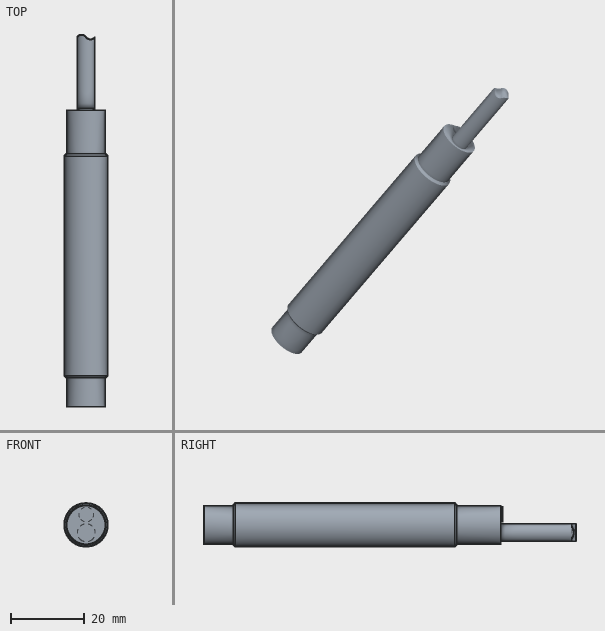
import cadquery as cq

sleeve_diameter = 12.0
sleeve_length = 61.3
sleeve_chamfer = 0.6

front_plug_diameter = 10.6
front_plug_length = 8.0
rear_plug_diameter = 10.6
rear_plug_length = 12.0

lens_diameter = 4.0
lens_height = 0.5
lens_z = 2.9

cable_diameter = 4.9
cable_length = 20.0
cable_z = -2.1
break_depth = 0.63

sleeve_front = front_plug_length
sleeve_rear = sleeve_front + sleeve_length
rear_face = sleeve_rear + rear_plug_length
break_midline = rear_face + cable_length
cable_tip = break_midline + break_depth


def cylinder_along_y(diameter, y_start, y_end, z=0.0):
    """Solid cylinder parallel to Y, with its axis at X = 0 and height z."""
    radius = diameter / 2
    start = cq.Vector(0, y_start, z)
    return cq.Workplane(cq.Solid.makeCylinder(radius, y_end - y_start, start, cq.Vector(0, 1, 0)))


def make_sleeve():
    """Sleeve with both end rims chamfered."""
    sleeve = cylinder_along_y(sleeve_diameter, sleeve_front, sleeve_rear)
    return sleeve.edges("%CIRCLE").chamfer(sleeve_chamfer)


def make_cable():
    """Cable trimmed by an S-shaped wave: a crest on the -X half, a trough on the +X half."""
    radius = cable_diameter / 2
    trim = (
        cq.Workplane("XY")
        .workplane(offset=cable_z - radius)
        .moveTo(-radius, sleeve_rear)
        .lineTo(-radius, break_midline)
        .threePointArc((-radius / 2, cable_tip), (0, break_midline))
        .threePointArc((radius / 2, break_midline - break_depth), (radius, break_midline))
        .lineTo(radius, sleeve_rear)
        .close()
        .extrude(cable_diameter)
    )
    return cylinder_along_y(cable_diameter, sleeve_rear, cable_tip, cable_z).intersect(trim)


front_plug = cylinder_along_y(front_plug_diameter, 0, sleeve_front)
rear_plug = cylinder_along_y(rear_plug_diameter, sleeve_rear, rear_face)
lens = cylinder_along_y(lens_diameter, rear_face, rear_face + lens_height, lens_z)

result = make_sleeve().union(front_plug).union(rear_plug).union(lens).union(make_cable())